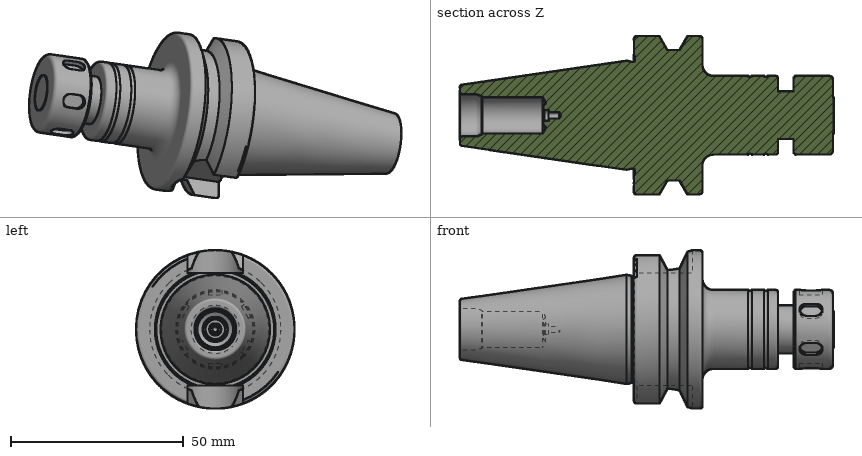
import cadquery as cq
import math


GAUGE_RADIUS = 31.75 / 2
TAPER_LENGTH = 48.4
TAPER_RATIO = 7 / 24
TAPER_END_RADIUS = GAUGE_RADIUS - TAPER_LENGTH * TAPER_RATIO / 2
TAPER_END_ROUND = 0.8
COLLAR_LENGTH = 1.0
COLLAR_END_RADIUS = 15.65
NECK_START = 1.35
NECK_RADIUS = 15.5
NECK_FILLET = 0.6

FLANGE_RADIUS = 46 / 2
FLANGE_START = 2.0
FLANGE_END = 22.0
FLANGE_EDGE_ROUND = 1.0
RECESS_DEPTH = 0.3
RECESS_FLOOR = FLANGE_START + RECESS_DEPTH
RECESS_MOUTH_RADIUS = 17.5
RECESS_FLOOR_RADIUS = 17.1
V_ROOT_RADIUS = 38 / 2
V_ROOT_WIDTH = 3.5
V_CENTER = 13.55
V_FLANK_ANGLE = 30
V_HALF_ROOT = V_ROOT_WIDTH / 2
V_HALF_MOUTH = V_HALF_ROOT + (FLANGE_RADIUS - V_ROOT_RADIUS) * math.tan(math.radians(V_FLANK_ANGLE))

DRIVE_SLOT_WIDTH = 16.1
DRIVE_SLOT_FLOOR = 16.3
DRIVE_SLOT_END = 19.1

BODY_RADIUS = 23 / 2
BODY_END = 43.9
BODY_ROOT_FILLET = 3.0
BODY_END_ROUND = 0.9
GROOVE_DEPTH = 0.3
GROOVE_WIDTH = 1.2
GROOVE_STARTS = (35.1, 39.7)

SPINDLE_RADIUS = 14 / 2
NUT_RADIUS = BODY_RADIUS
NUT_START = 48.3
NUT_END = 59.8
NUT_BACK_CHAMFER = 0.6
NUT_FRONT_ROUND = 1.3
COLLET_RADIUS = 10.4 / 2
COLLET_END = 60.0

WRENCH_SLOT_COUNT = 6
WRENCH_SLOT_LENGTH = 6.6
WRENCH_SLOT_WIDTH = 4.0
WRENCH_SLOT_CENTER = 53.4
WRENCH_SLOT_DEPTH = 1.6

MOUTH_RADIUS = 14 / 2
PILOT_RADIUS = 12.1 / 2
PILOT_DEPTH = 4.8
FUNNEL_START_RADIUS = 12 / 2
FUNNEL_START_DEPTH = 5.2
FUNNEL_END_RADIUS = 11 / 2
FUNNEL_END_DEPTH = 6.3
THREAD_RADIUS = 10.4 / 2
THREAD_DEPTH = 24.0
BORE_FLOOR_RADIUS = 7.3 / 2
DRILL_TIP_ANGLE = 30
DRILL_SLOPE = math.tan(math.radians(DRILL_TIP_ANGLE))

PLUG_RADIUS = 7 / 2
PLUG_TIP_RADIUS = 5.75 / 2
SOCKET_MOUTH_RADIUS = 3.5 / 2
SOCKET_RADIUS = 3 / 2
SOCKET_DEPTH = 1.5
PINHOLE_RADIUS = 1.7 / 2
PINHOLE_DEPTH = 3.0


def revolve(profile):
    """Revolve a profile drawn as (x, radius) about the X axis."""
    return profile.close().revolve(360, (0, 0, 0), (1, 0, 0))


def disc(start, end, radius):
    return cq.Workplane("YZ").workplane(offset=start).circle(radius).extrude(end - start)


def make_taper():
    taper = revolve(
        cq.Workplane("XY")
        .moveTo(-TAPER_LENGTH, 0)
        .lineTo(-TAPER_LENGTH, TAPER_END_RADIUS)
        .lineTo(0, GAUGE_RADIUS)
        .lineTo(COLLAR_LENGTH, COLLAR_END_RADIUS)
        .lineTo(NECK_START, NECK_RADIUS)
        .lineTo(RECESS_FLOOR - NECK_FILLET, NECK_RADIUS)
        .radiusArc((RECESS_FLOOR, NECK_RADIUS + NECK_FILLET), -NECK_FILLET)
        .lineTo(RECESS_FLOOR, 0)
    )
    return taper.faces("<X").edges().fillet(TAPER_END_ROUND)


def make_flange():
    flange = disc(FLANGE_START, FLANGE_END, FLANGE_RADIUS)
    flange = flange.faces("<X or >X").edges().fillet(FLANGE_EDGE_ROUND)
    groove = revolve(
        cq.Workplane("XY")
        .moveTo(V_CENTER - V_HALF_MOUTH, FLANGE_RADIUS)
        .lineTo(V_CENTER - V_HALF_ROOT, V_ROOT_RADIUS)
        .lineTo(V_CENTER + V_HALF_ROOT, V_ROOT_RADIUS)
        .lineTo(V_CENTER + V_HALF_MOUTH, FLANGE_RADIUS)
    )
    recess = revolve(
        cq.Workplane("XY")
        .moveTo(FLANGE_START, 0)
        .lineTo(FLANGE_START, RECESS_MOUTH_RADIUS)
        .lineTo(RECESS_FLOOR, RECESS_FLOOR_RADIUS)
        .lineTo(RECESS_FLOOR, 0)
    )
    return flange.cut(groove).cut(recess)


def make_body():
    profile = (
        cq.Workplane("XY")
        .moveTo(FLANGE_END, 0)
        .lineTo(FLANGE_END, BODY_RADIUS + BODY_ROOT_FILLET)
        .radiusArc((FLANGE_END + BODY_ROOT_FILLET, BODY_RADIUS), -BODY_ROOT_FILLET)
    )
    for start in GROOVE_STARTS:
        profile = (
            profile.lineTo(start, BODY_RADIUS)
            .sagittaArc((start + GROOVE_WIDTH, BODY_RADIUS), -GROOVE_DEPTH)
        )
    return revolve(
        profile.lineTo(BODY_END - BODY_END_ROUND, BODY_RADIUS)
        .radiusArc((BODY_END, BODY_RADIUS - BODY_END_ROUND), BODY_END_ROUND)
        .lineTo(BODY_END, 0)
    )


def make_nut():
    nut = disc(NUT_START, NUT_END, NUT_RADIUS)
    nut = nut.faces("<X").edges().chamfer(NUT_BACK_CHAMFER)
    nut = nut.faces(">X").edges().fillet(NUT_FRONT_ROUND)
    slot = (
        cq.Workplane("XY", origin=(WRENCH_SLOT_CENTER, 0, NUT_RADIUS - WRENCH_SLOT_DEPTH))
        .slot2D(WRENCH_SLOT_LENGTH, WRENCH_SLOT_WIDTH)
        .extrude(2 * WRENCH_SLOT_DEPTH)
    )
    for index in range(WRENCH_SLOT_COUNT):
        angle = index * 360 / WRENCH_SLOT_COUNT
        nut = nut.cut(slot.rotate((0, 0, 0), (1, 0, 0), angle))
    return nut


def make_drive_slot():
    """Tool body of the round-ended slot at the top of the flange, open toward the taper."""
    half_width = DRIVE_SLOT_WIDTH / 2
    arc_start = DRIVE_SLOT_END - half_width
    return (
        cq.Workplane("XY", origin=(0, 0, DRIVE_SLOT_FLOOR))
        .moveTo(0, -half_width)
        .lineTo(arc_start, -half_width)
        .threePointArc((DRIVE_SLOT_END, 0), (arc_start, half_width))
        .lineTo(0, half_width)
        .close()
        .extrude(FLANGE_RADIUS)
    )


def make_bore():
    """Empty space of the shank bore, including the hole in the plug."""
    mouth_round = MOUTH_RADIUS - PILOT_RADIUS
    thread_start_depth = FUNNEL_END_DEPTH + FUNNEL_END_RADIUS - THREAD_RADIUS
    floor_depth = THREAD_DEPTH + (THREAD_RADIUS - BORE_FLOOR_RADIUS) * DRILL_SLOPE
    plug_depth = floor_depth - (PLUG_RADIUS - PLUG_TIP_RADIUS)
    socket_edge_depth = plug_depth + SOCKET_MOUTH_RADIUS - SOCKET_RADIUS
    socket_floor_depth = plug_depth + SOCKET_DEPTH
    pinhole_depth = socket_floor_depth + PINHOLE_DEPTH
    bore = revolve(
        cq.Workplane("XY")
        .moveTo(0, 0)
        .lineTo(0, MOUTH_RADIUS)
        .radiusArc((mouth_round, PILOT_RADIUS), -mouth_round)
        .lineTo(PILOT_DEPTH, PILOT_RADIUS)
        .lineTo(FUNNEL_START_DEPTH, FUNNEL_START_RADIUS)
        .lineTo(FUNNEL_END_DEPTH, FUNNEL_END_RADIUS)
        .lineTo(thread_start_depth, THREAD_RADIUS)
        .lineTo(THREAD_DEPTH, THREAD_RADIUS)
        .lineTo(floor_depth, BORE_FLOOR_RADIUS)
        .lineTo(floor_depth, PLUG_RADIUS)
        .lineTo(plug_depth, PLUG_TIP_RADIUS)
        .lineTo(plug_depth, SOCKET_MOUTH_RADIUS)
        .lineTo(socket_edge_depth, SOCKET_RADIUS)
        .lineTo(socket_floor_depth, SOCKET_RADIUS)
        .lineTo(socket_floor_depth, PINHOLE_RADIUS)
        .lineTo(pinhole_depth, PINHOLE_RADIUS)
        .lineTo(pinhole_depth + PINHOLE_RADIUS * DRILL_SLOPE, 0)
    )
    return bore.translate((-TAPER_LENGTH, 0, 0))


drive_slot = make_drive_slot()
flange = make_flange().cut(drive_slot).cut(drive_slot.rotate((0, 0, 0), (1, 0, 0), 180))
spindle = disc(BODY_END, NUT_START, SPINDLE_RADIUS)
collet = disc(NUT_END, COLLET_END, COLLET_RADIUS)

result = make_taper().union(flange).union(make_body()).union(spindle).union(make_nut()).union(collet)
result = result.cut(make_bore())